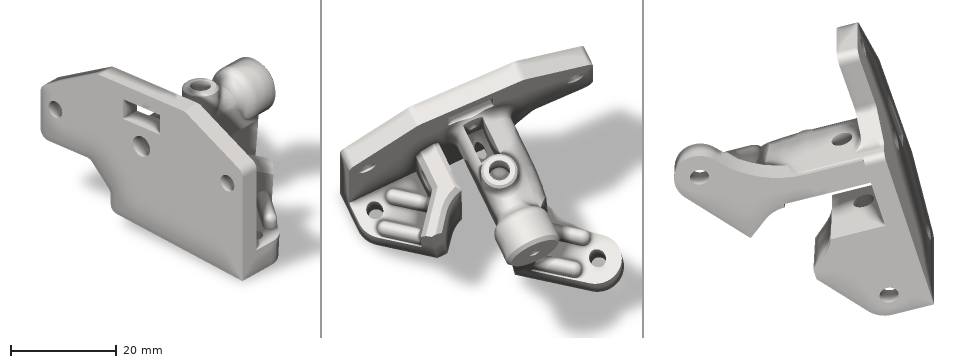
import cadquery as cq
import math

HALF_WIDTH = 25.5
PLATE_THICK = 4.15
PLATE_TOP = 11.65
PLATE_BOTTOM = -19.9
TILT = 5.2
CORNER_R = 2.0

SHOULDER_SLOPE = 28.4
SHOULDER_Z = 3.75
NOTCH_Z = -7.45
BODY_LEFT = -7.75
NOTCH_TURN_X = -13.0
BOLT_X = 21.75
BOLT_D = 3.45
WINDOW_W = 9.45
WINDOW_LOW = 4.3
WINDOW_HIGH = 8.55

TUBE_R = 3.5
ROOF_SLOPE = 27.3
BODY_ROUND_R = 5.0
BODY_BEND_Y = 15.3
BODY_END_Y = 31.7
BODY_END_LEFT = -4.6
BODY_FLARE_R = 1.85

SOCKET_R = 5.55
SOCKET_END_Y = 32.95
SOCKET_START_Y = 27.25
NECK_START_Y = 23.35
NECK_R = 3.55
SOCKET_CHAMFER = 0.7
BORE_D = 2.0
INLET_D = 4.35
INLET_DEPTH = 3.0

PORT_Y = 17.0
PORT_R = 3.45
PORT_TOP = 6.05
PORT_BORE_D = 4.05
PORT_DEPTH = 4.0
PORT_CHAMFER = 0.45
PORT_FILLET = 1.3

SADDLE_Y = 8.35
SADDLE_W = 4.1
SADDLE_R = 4.75
SADDLE_START_Y = 4.9
DRAIN_W = 2.0
DRAIN_L = 3.6
CROSS_HOLE_D = 4.1
CROSS_HOLE_Z = -7.7

MOTOR_X = 4.7
MOTOR_Y = 21.35
MOTOR_HOLE_REACH = 21.9
DIAGONAL = -38.9
MOTOR_HOLE_W = 3.15
MOTOR_HOLE_L = 3.65
MOTOR_HOLE_SHIFT = -0.35
LUG_THICK = 5.0
LUG_R = 4.95
LUG_END_Y = 19.95
LUG_CORNER_R = 5.35
ARM_SWEEP_R = 20.0
GEAR_R = 6.8
GEAR_LEFT = -2.75
GEAR_RIGHT = 6.85
GEAR_CEILING = -5.35
PILLAR_START_Y = 22.45
PILLAR_FILLET = 1.55
PILLAR_REACH = 11.2

RIB_OFFSET = 3.25
RIB_W = 2.65
RIB_H = 3.0
RIB_START = 3.25
RIB_LENGTH = 9.2

BLOCK_H = 16.3
BLOCK_W = 4.7
BLOCK_CHAMFER = 1.0
BLOCK_END_X = 15.8
BLOCK_SLOPE = 24.0

BIG = 102.0
OVERLAP = 0.5
tilt_tan = math.tan(math.radians(TILT))


def underside_z(x):
    return PLATE_BOTTOM + tilt_tan * (HALF_WIDTH - x)


tilt_sin = math.sin(math.radians(TILT))
tilt_cos = math.cos(math.radians(TILT))
motor_plane = cq.Plane(
    origin=(MOTOR_X, MOTOR_Y, underside_z(MOTOR_X)),
    xDir=(tilt_cos, 0, -tilt_sin),
    normal=(tilt_sin, 0, tilt_cos),
)
along = (math.cos(math.radians(DIAGONAL)), math.sin(math.radians(DIAGONAL)))
across = (-along[1], along[0])


def seat_point(reach, offset):
    """Point of the motor frame, `reach` along the hole diagonal and `offset` beside it."""
    return (reach * along[0] + offset * across[0], reach * along[1] + offset * across[1])


def local_to_plan(reach, offset):
    """The same point in part coordinates, ignoring the tilt."""
    x, y = seat_point(reach, offset)
    return (MOTOR_X + x, MOTOR_Y + y)


def seat(height=0.0):
    return cq.Workplane(motor_plane).workplane(offset=height)


def front(y=0.0):
    """Sketch plane facing -Y at depth y; its own X and Y are the part's X and Z."""
    return cq.Workplane("XZ", origin=(0, y, 0))


def nearest(point):
    return cq.selectors.NearestToPointSelector(point)


def outline_prism(depth):
    shoulder_run = (PLATE_TOP - SHOULDER_Z) / math.tan(math.radians(SHOULDER_SLOPE))
    top_half = HALF_WIDTH - shoulder_run
    notch_end_z = NOTCH_Z - (BODY_LEFT - NOTCH_TURN_X)
    sharp = [
        (BODY_LEFT, underside_z(BODY_LEFT)),
        (HALF_WIDTH, PLATE_BOTTOM),
    ]
    rounded = [
        (HALF_WIDTH, SHOULDER_Z),
        (top_half, PLATE_TOP),
        (-top_half, PLATE_TOP),
        (-HALF_WIDTH, SHOULDER_Z),
        (-HALF_WIDTH, NOTCH_Z),
        (NOTCH_TURN_X, NOTCH_Z),
        (BODY_LEFT, notch_end_z),
    ]
    prism = front().polyline(sharp + rounded).close().extrude(-depth)
    for x, z in rounded:
        corner = cq.selectors.BoxSelector((x - 0.5, -0.5, z - 0.5), (x + 0.5, depth + 0.5, z + 0.5))
        prism = prism.edges("|Y").edges(corner).fillet(CORNER_R)
    return prism


def body_section(sketch, left):
    """Tube on the right, sloping roof, rounded shoulder and upright left wall."""
    roof = math.radians(90 + ROOF_SLOPE)
    roof_n = (math.cos(roof), math.sin(roof))
    round_x = left + BODY_ROUND_R
    round_z = (TUBE_R - BODY_ROUND_R - roof_n[0] * round_x) / roof_n[1]
    mid = (roof + math.pi) / 2
    tube_mid = roof / 2
    return (
        sketch.moveTo(left, PLATE_BOTTOM)
        .lineTo(left, round_z)
        .threePointArc(
            (round_x + BODY_ROUND_R * math.cos(mid), round_z + BODY_ROUND_R * math.sin(mid)),
            (round_x + BODY_ROUND_R * roof_n[0], round_z + BODY_ROUND_R * roof_n[1]),
        )
        .lineTo(TUBE_R * roof_n[0], TUBE_R * roof_n[1])
        .threePointArc((TUBE_R * math.cos(tube_mid), TUBE_R * math.sin(tube_mid)), (TUBE_R, 0))
        .lineTo(TUBE_R, PLATE_BOTTOM)
        .close()
    )


def body():
    """Straight length behind the plate, then a loft whose left wall bends inwards."""
    straight = body_section(front(), BODY_LEFT).extrude(-BODY_BEND_Y)
    bend = body_section(front(BODY_BEND_Y), BODY_LEFT)
    half = (BODY_END_Y - BODY_BEND_Y) / 2
    mid_left = BODY_LEFT + (BODY_END_LEFT - BODY_LEFT) / 4
    bend = body_section(bend.workplane(offset=-half), mid_left)
    bend = body_section(bend.workplane(offset=-half), BODY_END_LEFT)
    return straight.union(bend.loft())


def socket():
    mid_r = (SOCKET_R + NECK_R) / 2
    mid_y = (SOCKET_START_Y + NECK_START_Y) / 2
    return (
        cq.Workplane("XY")
        .moveTo(0, SOCKET_END_Y)
        .lineTo(SOCKET_R - SOCKET_CHAMFER, SOCKET_END_Y)
        .lineTo(SOCKET_R, SOCKET_END_Y - SOCKET_CHAMFER)
        .lineTo(SOCKET_R, SOCKET_START_Y)
        .tangentArcPoint((mid_r, mid_y), relative=False)
        .tangentArcPoint((NECK_R, NECK_START_Y), relative=False)
        .lineTo(0, NECK_START_Y)
        .close()
        .revolve(360, (0, 0, 0), (0, 1, 0))
    )


def with_port(tube):
    """Add the upright port, blended into the tube at its root."""
    boss = cq.Workplane("XY", origin=(0, PORT_Y, 0)).circle(PORT_R).extrude(PORT_TOP)
    joined = tube.union(boss)
    tolerance = 0.025

    def on_boss(point):
        return abs(math.hypot(point.x, point.y - PORT_Y) - PORT_R) < tolerance

    root = [
        edge
        for edge in joined.edges().vals()
        if edge.geomType() != "LINE"
        and 0 < edge.Center().z < PORT_TOP - PORT_CHAMFER
        and on_boss(edge.startPoint())
        and on_boss(edge.endPoint())
    ]
    joined = joined.newObject(root).fillet(PORT_FILLET)
    return joined.edges(nearest((0, PORT_Y, PORT_TOP))).chamfer(PORT_CHAMFER)


def motor_clearance():
    """Round-ended slot around the motor axis, open towards the free sides of the lugs."""
    start = -LUG_THICK
    corners = [(-GEAR_R, 0), (-GEAR_R, BIG), (GEAR_R, BIG), (GEAR_R, 0)]
    slot = seat(start).polyline([seat_point(r, o) for r, o in corners]).close().extrude(BIG)
    return seat(start).circle(GEAR_R).extrude(BIG).union(slot)


def left_arm():
    """Round end, straight outer edge, swept edge running into the body wall."""
    tip = seat_point(-MOTOR_HOLE_REACH - LUG_R, 0)
    outer_start = seat_point(-MOTOR_HOLE_REACH, LUG_R)
    outer_end = seat_point(-GEAR_R, LUG_R)
    inner_start = seat_point(-MOTOR_HOLE_REACH, -LUG_R)
    back_y = PLATE_THICK - MOTOR_Y
    wall_x = (BODY_LEFT - MOTOR_X) / tilt_cos
    sweep_x = wall_x - ARM_SWEEP_R
    turn = math.radians(90 + DIAGONAL)
    sweep_start_x = sweep_x + ARM_SWEEP_R * math.cos(turn)
    sweep_start_y = inner_start[1] + (sweep_start_x - inner_start[0]) * along[1] / along[0]
    sweep_y = sweep_start_y - ARM_SWEEP_R * math.sin(turn)
    sweep_mid = (
        sweep_x + ARM_SWEEP_R * math.cos(turn / 2),
        sweep_y + ARM_SWEEP_R * math.sin(turn / 2),
    )
    return (
        seat()
        .moveTo(*outer_end)
        .lineTo(*outer_start)
        .threePointArc(tip, inner_start)
        .lineTo(sweep_start_x, sweep_start_y)
        .threePointArc(sweep_mid, (wall_x, sweep_y))
        .lineTo(wall_x, back_y)
        .lineTo(TUBE_R, back_y)
        .lineTo(*seat_point(-GEAR_R, 0))
        .close()
        .extrude(LUG_THICK)
    )


def right_lug():
    side_x = (HALF_WIDTH - MOTOR_X) / tilt_cos
    left_x = (GEAR_RIGHT - MOTOR_X) / tilt_cos
    back_y = PLATE_THICK - MOTOR_Y - OVERLAP
    inner = seat_point(GEAR_R, LUG_R)
    edge_slope = along[1] / along[0]
    side_y = inner[1] + (side_x - inner[0]) * edge_slope
    plan = [
        (left_x, back_y),
        (side_x + OVERLAP, back_y),
        (side_x + OVERLAP, side_y + OVERLAP * edge_slope),
        inner,
        seat_point(GEAR_R, 0),
        (left_x, seat_point(GEAR_R, -GEAR_R)[1]),
    ]
    lug = seat().polyline(plan).close().extrude(LUG_THICK)
    lug = lug.intersect(cq.Workplane("XY").box(2 * HALF_WIDTH, 2 * LUG_END_Y, BIG))
    corner = (HALF_WIDTH, MOTOR_Y + side_y, PLATE_BOTTOM + LUG_THICK / 2)
    return lug.edges(nearest(corner)).fillet(LUG_CORNER_R)


def right_block():
    """Bent wall on the right lug: one leg leaves the plate, the other lies across the diagonal."""
    left_x = GEAR_RIGHT
    right_x = GEAR_RIGHT + BLOCK_W
    inner_end = local_to_plan(0, BIG)
    outer_end = local_to_plan(GEAR_R + BLOCK_W, BIG)
    outer_start = local_to_plan(GEAR_R + BLOCK_W, 0)
    bend_y = outer_start[1] + (right_x - outer_start[0]) * across[1] / across[0]
    plan = [
        (left_x, PLATE_THICK - OVERLAP),
        (right_x, PLATE_THICK - OVERLAP),
        (right_x, bend_y),
        outer_end,
        inner_end,
        (left_x, LUG_END_Y),
    ]
    ground = cq.Workplane("XY", origin=(0, 0, PLATE_BOTTOM))
    block = ground.polyline(plan).close().extrude(PLATE_TOP - PLATE_BOTTOM)
    block = block.cut(motor_clearance())
    ridge_z = underside_z(left_x) + BLOCK_H
    drop = math.tan(math.radians(BLOCK_SLOPE)) * HALF_WIDTH
    far_x = left_x + HALF_WIDTH
    profile = [
        (left_x, underside_z(left_x)),
        (far_x, underside_z(far_x)),
        (far_x, ridge_z - drop),
        (left_x, ridge_z),
    ]
    envelope = front().polyline(profile).close().extrude(-LUG_END_Y)
    limits = [(-BIG, LUG_R), (BIG, LUG_R), (BIG, -BIG), (-BIG, -BIG)]
    lug_side = seat(-BIG / 2).polyline([seat_point(r, o) for r, o in limits]).close().extrude(BIG)
    block = block.intersect(envelope).intersect(lug_side)
    roof = block.faces(cq.selectors.DirectionMinMaxSelector(cq.Vector(1, 0, 2), True))
    inside = cq.selectors.BoxSelector(
        (left_x - 0.5, PLATE_THICK, PLATE_BOTTOM), (BLOCK_END_X, LUG_END_Y - 0.05, PLATE_TOP)
    )
    return block.newObject(roof.edges(inside).vals()).chamfer(BLOCK_CHAMFER)


def rib(side, offset):
    """Round-topped rib on a lug, from its domed end towards the motor axis."""
    radius = RIB_W / 2
    end = seat_point(side * (MOTOR_HOLE_REACH - RIB_START), offset)
    middle = seat_point(side * (MOTOR_HOLE_REACH - RIB_START - RIB_LENGTH / 2), offset)
    upright = LUG_THICK + RIB_H - radius
    wall = (
        seat()
        .center(*middle)
        .transformed(rotate=(0, 0, DIAGONAL))
        .rect(RIB_LENGTH, RIB_W)
        .extrude(upright)
    )
    post = seat().center(*end).circle(radius).extrude(upright)
    dome = seat(upright).center(*end).sphere(radius)
    crown = (
        seat(upright)
        .center(*middle)
        .transformed(rotate=(0, 0, DIAGONAL))
        .transformed(rotate=(0, 90, 0))
        .circle(radius)
        .extrude(RIB_LENGTH / 2, both=True)
    )
    return wall.union(post).union(dome).union(crown)


def gear_space():
    """Room under the tube for the drive gear, open at the bottom."""
    height = GEAR_CEILING - PLATE_BOTTOM + OVERLAP
    ground = cq.Workplane("XY", origin=(0, 0, PLATE_BOTTOM - OVERLAP))
    channel = (
        ground.center((GEAR_LEFT + GEAR_RIGHT) / 2, (PLATE_THICK + MOTOR_Y) / 2)
        .rect(GEAR_RIGHT - GEAR_LEFT, MOTOR_Y - PLATE_THICK)
        .extrude(height)
    )
    ground = cq.Workplane("XY", origin=(0, 0, PLATE_BOTTOM - OVERLAP))
    limit = ground.center(GEAR_LEFT + BIG / 2, PLATE_THICK + BIG / 2).rect(BIG, BIG).extrude(height)
    return channel.union(motor_clearance().intersect(limit))


def plate_holes():
    bolts = front().pushPoints([(-BOLT_X, 0), (BOLT_X, 0)]).circle(BOLT_D / 2).extrude(-PLATE_THICK)
    window = (
        front()
        .center(0, (WINDOW_LOW + WINDOW_HIGH) / 2)
        .rect(WINDOW_W, WINDOW_HIGH - WINDOW_LOW)
        .extrude(-PLATE_THICK - BODY_FLARE_R)
    )
    return bolts.union(window)


def bore():
    inlet = front().circle(INLET_D / 2).extrude(-INLET_DEPTH)
    return front().circle(BORE_D / 2).extrude(-SOCKET_END_Y).union(inlet)


def port_bore():
    floor = cq.Workplane("XY", origin=(0, PORT_Y, PORT_TOP - PORT_DEPTH))
    return floor.circle(PORT_BORE_D / 2).extrude(PORT_DEPTH)


def saddle():
    """Round-bottomed slot across the top of the tube, drained by an oval hole."""
    groove = (
        cq.Workplane("YZ", origin=(-SADDLE_W / 2, SADDLE_Y, 0))
        .circle(SADDLE_R)
        .extrude(SADDLE_W)
    )
    mouth = cq.Workplane("XY").center(0, SADDLE_Y).rect(SADDLE_W, 2 * SADDLE_R).extrude(PLATE_TOP)
    behind_plate = cq.Workplane("XY", origin=(0, SADDLE_START_Y + BIG / 2, 0)).box(BIG, BIG, BIG)
    drain = cq.Workplane("XY").center(0, SADDLE_Y).ellipse(DRAIN_W / 2, DRAIN_L / 2).extrude(PLATE_BOTTOM)
    return groove.union(mouth).intersect(behind_plate).union(drain)


def mounting_hole(side):
    x, y = seat_point(side * MOTOR_HOLE_REACH, 0)
    oval = seat().center(x + MOTOR_HOLE_SHIFT, y).ellipse(MOTOR_HOLE_W / 2, MOTOR_HOLE_L / 2)
    return oval.extrude(LUG_THICK)


def cross_hole():
    axis = cq.Workplane("YZ", origin=(-HALF_WIDTH, SADDLE_Y, CROSS_HOLE_Z))
    return axis.circle(CROSS_HOLE_D / 2).extrude(2 * HALF_WIDTH)


def plate_and_body():
    """Plate and tube body joined by a flare, trimmed to the plate outline and to the pillar."""
    joined = front().rect(2 * HALF_WIDTH, 2 * HALF_WIDTH).extrude(-PLATE_THICK).union(body())
    flare = cq.selectors.BoxSelector(
        (0.5 - HALF_WIDTH, PLATE_THICK - 0.05, PLATE_BOTTOM - 0.5),
        (HALF_WIDTH - 0.5, PLATE_THICK + 0.05, PLATE_TOP),
    )
    joined = joined.edges(flare).fillet(BODY_FLARE_R)
    joined = joined.intersect(outline_prism(BODY_END_Y))
    limits = [(-PILLAR_REACH, -BIG), (-PILLAR_REACH, LUG_R), (BIG, LUG_R), (BIG, -BIG)]
    pillar_side = seat(-BIG / 2).polyline([seat_point(r, o) for r, o in limits]).close().extrude(BIG)
    beside_pillar = cq.Workplane("XY").box(BIG, 2 * PILLAR_START_Y, BIG)
    joined = joined.intersect(beside_pillar.union(pillar_side))
    pillar_corner = (BODY_LEFT, PILLAR_START_Y, PLATE_BOTTOM + LUG_THICK)
    joined = joined.edges(nearest(pillar_corner)).fillet(PILLAR_FILLET)
    return with_port(joined)


result = plate_and_body().union(left_arm())
result = result.cut(gear_space())
result = result.union(socket())
result = result.union(right_lug()).union(right_block())
for side in (-1, 1):
    for offset in (-RIB_OFFSET, RIB_OFFSET):
        result = result.union(rib(side, offset))
    result = result.cut(mounting_hole(side))
for cut in (plate_holes(), bore(), port_bore(), saddle(), cross_hole()):
    result = result.cut(cut)